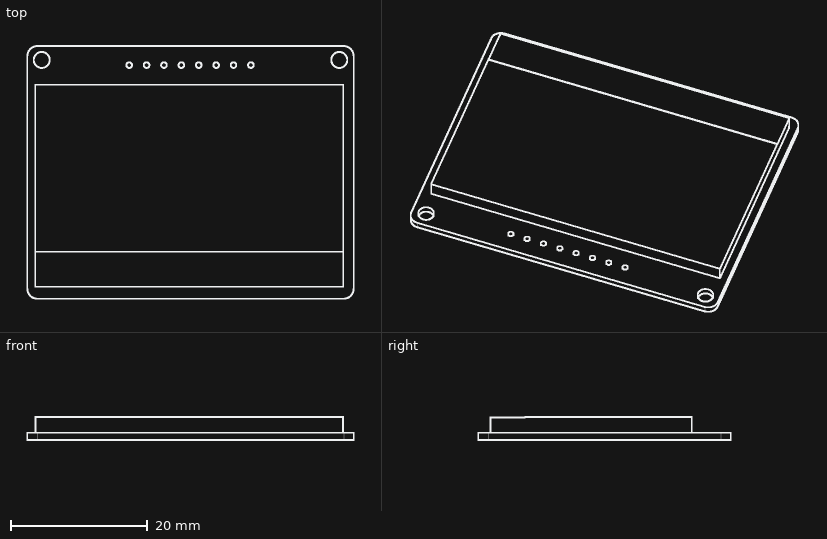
import cadquery as cq

board_length = 47.71
board_width = 36.96
board_thickness = 1.1
corner_radius = 1.5

overall_height = 3.4
panel_height = overall_height - board_thickness
panel_left_margin = 1.2
panel_right_margin = 1.55
panel_front_margin = 1.8
panel_back_margin = 5.7
panel_length = board_length - panel_left_margin - panel_right_margin
panel_width = board_width - panel_front_margin - panel_back_margin

step_width = 5.1
step_depth = 0.1

mount_hole_diameter = 2.3
mount_hole_side_inset = 2.12
mount_hole_back_inset = 2.05

pin_count = 8
pin_pitch = 2.54
pin_hole_diameter = 0.8
first_pin_x = 14.9
pin_back_inset = 2.8


def make_board():
    blank = cq.Workplane("XY").box(board_length, board_width, board_thickness, centered=False)
    return blank.edges("|Z").fillet(corner_radius)


def make_panel():
    block = cq.Workplane("XY").box(panel_length, panel_width, panel_height, centered=False)
    step = (
        cq.Workplane("XY", origin=(0, 0, panel_height - step_depth))
        .box(panel_length, step_width, step_depth, centered=False)
    )
    return block.cut(step).translate((panel_left_margin, panel_front_margin, board_thickness))


def make_through_holes(centers, diameter):
    return cq.Workplane("XY").pushPoints(centers).circle(diameter / 2).extrude(board_thickness)


mount_y = board_width - mount_hole_back_inset
mount_centers = [
    (mount_hole_side_inset, mount_y),
    (board_length - mount_hole_side_inset, mount_y),
]

pin_y = board_width - pin_back_inset
pin_centers = [(first_pin_x + i * pin_pitch, pin_y) for i in range(pin_count)]

result = (
    make_board()
    .cut(make_through_holes(mount_centers, mount_hole_diameter))
    .cut(make_through_holes(pin_centers, pin_hole_diameter))
    .union(make_panel())
)